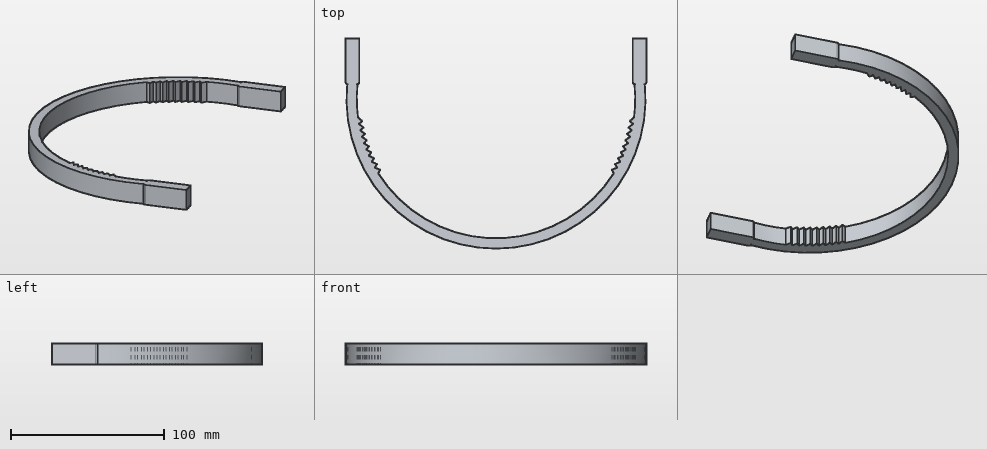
import cadquery as cq
import math

width = 196.0
length = 137.0
height = 14.0

outer_radius = 97.5
band_thickness = 6.9
inner_radius = outer_radius - band_thickness

pad_outer_x = width / 2
pad_thickness = 9.0
pad_inner_x = pad_outer_x - pad_thickness
pad_end_y = length - outer_radius
pad_length = 30.0
pad_root_y = pad_end_y - pad_length
pad_corner_radius = 1.5

tooth_count = 9
tooth_pitch = 2.75
first_tooth_angle = 7.5
tooth_tip_offset = 1.9
tooth_height = 2.4
tooth_overlap = 1.0


def polar_point(radius, angle):
    """Point at an angle in degrees below the +X axis."""
    angle = math.radians(angle)
    return radius * math.cos(angle), -radius * math.sin(angle)


def make_band():
    """Ring segment a little longer than a half circle, ending at the roots of the pads."""
    outer_root_x = math.sqrt(outer_radius**2 - pad_root_y**2)
    inner_root_x = math.sqrt(inner_radius**2 - pad_root_y**2)
    return (
        cq.Workplane("XY")
        .moveTo(outer_root_x, pad_root_y)
        .threePointArc((0, -outer_radius), (-outer_root_x, pad_root_y))
        .lineTo(-inner_root_x, pad_root_y)
        .threePointArc((0, -inner_radius), (inner_root_x, pad_root_y))
        .close()
        .extrude(height)
    )


def make_pad():
    """End pad on the +X side, with rounded corners where it meets the band."""
    return (
        cq.Workplane("XY")
        .moveTo(pad_inner_x, pad_root_y)
        .lineTo(pad_outer_x, pad_root_y)
        .lineTo(pad_outer_x, pad_end_y)
        .lineTo(pad_inner_x, pad_end_y)
        .close()
        .extrude(height)
        .edges("|Z and <Y")
        .fillet(pad_corner_radius)
    )


def make_tooth(start_angle):
    """Slanted tooth on the +X side, rooted inside the band."""
    end_angle = start_angle + tooth_pitch
    root_radius = inner_radius + tooth_overlap
    outline = [
        polar_point(root_radius, start_angle),
        polar_point(inner_radius, start_angle),
        polar_point(inner_radius - tooth_height, start_angle + tooth_tip_offset),
        polar_point(inner_radius, end_angle),
        polar_point(root_radius, end_angle),
    ]
    return cq.Workplane("XY").polyline(outline).close().extrude(height)


side_features = [make_pad()]
for index in range(tooth_count):
    side_features.append(make_tooth(first_tooth_angle + index * tooth_pitch))

result = make_band()
for feature in side_features:
    result = result.union(feature).union(feature.mirror("YZ"))